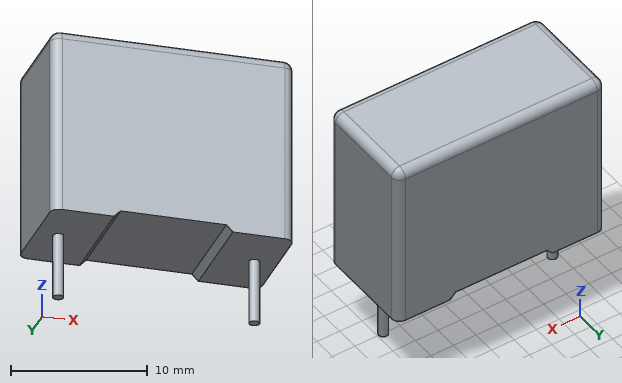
import cadquery as cq

body_length = 18.5
body_width = 8.7
total_height = 19.6
lead_length = 5.0
body_height = total_height - lead_length
edge_radius = 0.75

lead_diameter = 0.8
lead_spacing = 15.0

recess_height = 0.5
recess_bottom_length = 9.1
recess_top_length = 8.08


def make_body():
    """Box with rounded vertical and top edges and a sharp underside."""
    box = cq.Workplane("XY").box(body_length, body_width, body_height, centered=(True, True, False))
    return box.edges("|Z or >Z").fillet(edge_radius)


def make_recess():
    """Trapezoidal channel running through the full width of the body."""
    return (
        cq.Workplane("XZ")
        .moveTo(-recess_bottom_length / 2, 0)
        .lineTo(-recess_top_length / 2, recess_height)
        .lineTo(recess_top_length / 2, recess_height)
        .lineTo(recess_bottom_length / 2, 0)
        .close()
        .extrude(body_width / 2, both=True)
    )


def make_leads():
    """Two round leads hanging below the body."""
    lead_centers = [(-lead_spacing / 2, 0), (lead_spacing / 2, 0)]
    return cq.Workplane("XY").pushPoints(lead_centers).circle(lead_diameter / 2).extrude(-lead_length)


result = make_body().cut(make_recess()).union(make_leads())